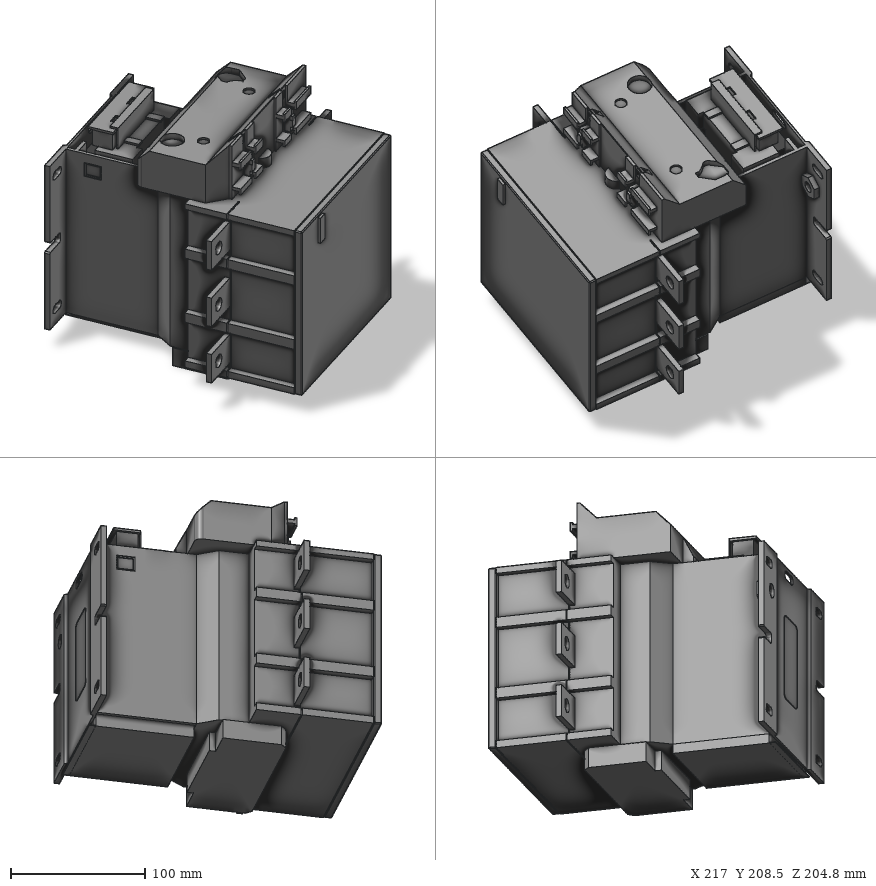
import cadquery as cq
import math


BODY_HEIGHT = 142.8

PLATE_THICK = 4.3
PLATE_HALF_WIDTH = 73.0
GROOVE_DEPTH = 2.4
GROOVE_HALF_WIDTH = 40.8
GROOVE_FLANK = 1.5
WALL_OUTER_Y = 45.0
WALL_INNER_Y = 42.0
CHANNEL_END_X = 80.5

FLARE_END_X = 95.3
NECK_HALF_WIDTH = 55.1
RIBBED_START_X = 118.3
CORE_HALF_WIDTH = 72.3
RIB_HALF_WIDTH = 78.0
RIB_SPANS = [(0, 5.6), (39.3, 47.5), (95.3, 103.3), (138.0, BODY_HEIGHT)]
SEAM_X = 152.8
FOOT_DEPTH = 15.6

TERMINAL_SPAN = 208.5
TERMINAL_THICK = 4.3
TERMINAL_HEIGHT = 25.0
TERMINAL_PITCH = 49.3
TERMINAL_MID_Z = BODY_HEIGHT / 2
TERMINAL_HOLE_Y = 91.5
TERMINAL_HOLE_D = 10.5

LID_START_X = 208.5
LID_END_X = 214.8
LID_CHAMFER = 0.9
OVERALL_X = 217.0

COIL_BACK_Y = WALL_INNER_Y
COIL_FRONT_Y = -36.9

COVER_LEFT_Y = 71.2
COVER_RIGHT_Y = -70.3
COVER_FRONT_X = 73.8
COVER_BACK_X = 147.3
COVER_TOP_Z = 176.0
COVER_RIDGE_X = 145.0
COVER_RIDGE_RISE = 13.2
COVER_PEAK_Z = COVER_TOP_Z + COVER_RIDGE_RISE


def box(x_span, y_span, z_span):
    """Box between two limits along each axis."""
    lengths = [high - low for low, high in (x_span, y_span, z_span)]
    return cq.Workplane("XY").box(*lengths, centered=False).translate((x_span[0], y_span[0], z_span[0]))


def plan_prism(points, z_span):
    """Outline in X and Y, raised from the first height to the second."""
    low, high = z_span
    return cq.Workplane("XY").workplane(offset=low).polyline(points).close().extrude(high - low)


def side_prism(points, y_span):
    """Outline in X and Z, carried across Y."""
    low, high = y_span
    return cq.Workplane("XZ").workplane(offset=-high).polyline(points).close().extrude(high - low)


def x_cylinder(diameter, x_span, y, z):
    """Cylinder along X."""
    low, high = x_span
    return cq.Workplane("YZ").workplane(offset=low).center(y, z).circle(diameter / 2).extrude(high - low)


def z_cylinder(diameter, x, y, z_span):
    """Upright cylinder."""
    low, high = z_span
    return cq.Workplane("XY").workplane(offset=low).center(x, y).circle(diameter / 2).extrude(high - low)


def ribbed_block(x_span):
    """Block with ribs standing out along both sides."""
    block = box(x_span, (-CORE_HALF_WIDTH, CORE_HALF_WIDTH), (0, BODY_HEIGHT))
    for rib_span in RIB_SPANS:
        block = block.union(box(x_span, (-RIB_HALF_WIDTH, RIB_HALF_WIDTH), rib_span))
    return block


def make_mounting_plate():
    """Plate with a shallow groove down its middle, fixing slots and a nut on its inner face."""
    slot_width = 6.7
    slot_length = 14.3
    slot_y = 60.1
    slot_heights = [13.2, 130.0]
    top_slot_length = 19.5
    top_slot_y = 4.8
    top_slot_z = 136.5
    notch_width = 8.2
    notch_bottom_y = 54.0
    notch_corner = 2.5
    notch_z = BODY_HEIGHT / 2
    mouth_chamfer = 1.0
    label_width = 32.3
    label_height = 65.8
    label_depth = 0.5
    label_corner = 5.0
    nut_y = 53.8
    nut_z = 109.5
    nut_flats = 17.8
    nut_turn = 30
    nut_end_x = 9.0
    plate_hole = 10.8
    thread_hole = 8.7

    plate = box((0, PLATE_THICK), (-PLATE_HALF_WIDTH, PLATE_HALF_WIDTH), (0, BODY_HEIGHT))
    floor_half = GROOVE_HALF_WIDTH - GROOVE_FLANK
    groove = plan_prism(
        [
            (0, -GROOVE_HALF_WIDTH),
            (GROOVE_DEPTH, -floor_half),
            (GROOVE_DEPTH, floor_half),
            (0, GROOVE_HALF_WIDTH),
        ],
        (0, BODY_HEIGHT),
    )
    plate = plate.cut(groove)

    label = box(
        (0, GROOVE_DEPTH + label_depth),
        (-label_width / 2, label_width / 2),
        (notch_z - label_height / 2, notch_z + label_height / 2),
    )
    plate = plate.cut(label.edges("|X").fillet(label_corner))

    slot_points = [(side * slot_y, z) for side in (-1, 1) for z in slot_heights]
    slots = cq.Workplane("YZ").pushPoints(slot_points).slot2D(slot_length, slot_width).extrude(PLATE_THICK)
    top_slot = cq.Workplane("YZ").center(top_slot_y, top_slot_z)
    top_slot = top_slot.slot2D(top_slot_length, slot_width).extrude(PLATE_THICK)
    plate = plate.cut(slots).cut(top_slot)

    half_notch = notch_width / 2
    notch = box(
        (0, PLATE_THICK),
        (notch_bottom_y, PLATE_HALF_WIDTH),
        (notch_z - half_notch, notch_z + half_notch),
    )
    notch = notch.edges("|X and <Y").fillet(notch_corner)
    mouth = (
        cq.Workplane("YZ")
        .polyline(
            [
                (PLATE_HALF_WIDTH, notch_z - half_notch - mouth_chamfer),
                (PLATE_HALF_WIDTH - mouth_chamfer, notch_z - half_notch),
                (PLATE_HALF_WIDTH - mouth_chamfer, notch_z + half_notch),
                (PLATE_HALF_WIDTH, notch_z + half_notch + mouth_chamfer),
            ]
        )
        .close()
        .extrude(PLATE_THICK)
    )
    notch = notch.union(mouth)
    plate = plate.cut(notch).cut(notch.mirror("XZ"))

    nut = cq.Workplane("YZ").workplane(offset=PLATE_THICK).center(nut_y, nut_z)
    nut = nut.polygon(6, nut_flats / math.cos(math.pi / 6)).extrude(nut_end_x - PLATE_THICK)
    nut = nut.rotate((0, nut_y, nut_z), (1, nut_y, nut_z), nut_turn)
    plate = plate.union(nut)
    plate = plate.cut(x_cylinder(plate_hole, (0, PLATE_THICK), nut_y, nut_z))
    return plate.cut(x_cylinder(thread_hole, (PLATE_THICK, nut_end_x), nut_y, nut_z))


def make_channel():
    """Two walls from the plate to the housing, with inward tabs and a framed recess."""
    tab_span = (10.6, 13.9)
    tab_inner_y = 29.0
    tab_bottom_z = 108.5
    recess_x = (19.3, 33.2)
    recess_z = (123.0, 134.5)
    recess_step = 1.0
    recess_depth = 0.9

    walls = box((PLATE_THICK, CHANNEL_END_X), (WALL_INNER_Y, WALL_OUTER_Y), (0, BODY_HEIGHT))
    walls = walls.union(box(tab_span, (tab_inner_y, WALL_INNER_Y), (tab_bottom_z, BODY_HEIGHT)))
    walls = walls.union(walls.mirror("XZ"))
    for step in (0, 1):
        inset = step * recess_step
        recess = box(
            (recess_x[0] + inset, recess_x[1] - inset),
            (-WALL_OUTER_Y, -WALL_OUTER_Y + (step + 1) * recess_depth),
            (recess_z[0] + inset, recess_z[1] - inset),
        )
        walls = walls.cut(recess)
    return walls


def make_foot():
    """Block under the housing, with bevelled rear corners."""
    tongue_x = 92.9
    tongue_half = 34.3
    front_x = 97.9
    back_x = COVER_BACK_X
    half_width = 56.5
    bevel = 4.3
    half_outline = [
        (tongue_x, tongue_half),
        (front_x, tongue_half),
        (front_x, half_width),
        (back_x - bevel, half_width),
        (back_x, half_width - bevel),
    ]
    other_half = [(x, -y) for x, y in reversed(half_outline)]
    return plan_prism(half_outline + other_half, (-FOOT_DEPTH, 0))


def make_terminals():
    """Three bars standing out on both sides, each with a hole at both ends."""
    x_span = (SEAM_X - TERMINAL_THICK, SEAM_X)
    bars = cq.Workplane("XY")
    for row in (-1, 0, 1):
        middle = TERMINAL_MID_Z + row * TERMINAL_PITCH
        z_span = (middle - TERMINAL_HEIGHT / 2, middle + TERMINAL_HEIGHT / 2)
        bar = box(x_span, (-TERMINAL_SPAN / 2, TERMINAL_SPAN / 2), z_span)
        for side in (-1, 1):
            bar = bar.cut(x_cylinder(TERMINAL_HOLE_D, x_span, side * TERMINAL_HOLE_Y, middle))
        bars = bars.union(bar)
    return bars


def make_neck():
    """Front of the housing, flaring out from the channel's width."""
    half_outline = [
        (CHANNEL_END_X, WALL_OUTER_Y),
        (FLARE_END_X, NECK_HALF_WIDTH),
        (RIBBED_START_X, NECK_HALF_WIDTH),
    ]
    other_half = [(x, -y) for x, y in reversed(half_outline)]
    return plan_prism(half_outline + other_half, (0, BODY_HEIGHT))


def cut_seam(housing):
    """Narrow groove round the housing behind the terminals, interrupted on top below the cover."""
    width = 0.9
    depth = 0.9
    bridge_y = (-57.5, 64.5)

    seam_span = (SEAM_X, SEAM_X + width)
    ring = ribbed_block(seam_span)
    core_half = CORE_HALF_WIDTH - depth
    ring = ring.cut(box(seam_span, (-core_half, core_half), (depth, BODY_HEIGHT - depth)))
    ring = ring.cut(box(seam_span, bridge_y, (BODY_HEIGHT - depth, BODY_HEIGHT)))
    return housing.cut(ring)


def make_housing():
    """Neck and ribbed block with a seam groove, foot and terminals in one solid."""
    housing = make_neck().union(ribbed_block((RIBBED_START_X, LID_START_X)))
    return cut_seam(housing).union(make_foot()).union(make_terminals())


def make_lid():
    """End plate with bevelled edges and a small tab on its outer face."""
    tab_y = (-50.0, -42.3)
    tab_z = (118.5, 140.5)

    lid = box((LID_START_X, LID_END_X), (-RIB_HALF_WIDTH, RIB_HALF_WIDTH), (0, BODY_HEIGHT))
    lid = lid.edges().chamfer(LID_CHAMFER)
    return lid.union(box((LID_END_X, OVERALL_X), tab_y, tab_z))


def make_coil():
    """Coil in the channel, with its connector on top and a flange under the plate."""
    bottom_z = -7.4
    bottom_left_y = WALL_OUTER_Y
    flange_thick = 0.7
    shelf_x = 5.2
    shelf_z = 65.0
    rear_x = 65.5
    rear_z = 124.8
    middle_y = (-21.3, 21.7)
    middle_z = 108.5
    support_x = 45.0
    tongue_end_x = 23.7
    tongue_z = 123.0
    head_start_x = 26.3
    head_end_x = 57.5
    head_half_width = 40.8
    head_bottom_z = 128.0
    head_top_z = 145.2
    head_notch_x = 52.7
    head_notch_half = 23.9

    coil_y = (COIL_FRONT_Y, COIL_BACK_Y)
    coil = box((shelf_x, CHANNEL_END_X), (COIL_FRONT_Y, bottom_left_y), (bottom_z, 0))
    coil = coil.union(box((0, shelf_x), (COIL_FRONT_Y, bottom_left_y), (bottom_z, bottom_z + flange_thick)))
    coil = coil.union(box((shelf_x, rear_x), coil_y, (0, shelf_z)))
    coil = coil.union(box((rear_x, CHANNEL_END_X), coil_y, (0, rear_z)))
    coil = coil.union(box((PLATE_THICK, head_notch_x), middle_y, (0, middle_z)))
    coil = coil.union(box((PLATE_THICK, tongue_end_x), middle_y, (middle_z, tongue_z)))
    head_y = (-head_half_width, head_half_width)
    coil = coil.union(box((head_start_x, head_end_x), head_y, (head_bottom_z, head_top_z)))
    coil = coil.union(box((support_x, head_notch_x), middle_y, (middle_z, head_bottom_z)))
    notch_y = (-head_notch_half, head_notch_half)
    coil = coil.cut(box((head_notch_x, head_end_x), notch_y, (head_bottom_z, head_top_z)))
    return coil.union(make_connector(head_top_z))


def make_connector(bottom_z):
    """Connector box with an overhanging top, held by a bent strip with two feet."""
    top_z = 161.9
    body_x = (21.5, 38.0)
    body_y = (-35.0, 31.7)
    rim_thick = 2.0
    rim_x = (18.9, 39.5)
    rim_y = (-36.9, 34.0)
    pocket_x = (30.5, 35.8)
    pocket_spans = [(-22.4, -13.7), (5.5, 15.2)]
    pocket_depth = 1.7
    strip_x = (34.5, 41.2)
    strip_y = (-31.7, 30.2)
    strip_thick = 1.3
    strip_top_z = 163.5
    foot_spans = [(-21.7, -15.5), (16.0, 22.8)]
    foot_end_x = 53.5
    foot_thick = 1.7

    connector = box(body_x, body_y, (bottom_z, top_z))
    connector = connector.union(box(rim_x, rim_y, (top_z - rim_thick, top_z)))
    for span in pocket_spans:
        connector = connector.cut(box(pocket_x, span, (top_z - pocket_depth, top_z)))
    connector = connector.union(box(strip_x, strip_y, (top_z, strip_top_z)))
    upright_x = (strip_x[1] - strip_thick, strip_x[1])
    connector = connector.union(box(upright_x, strip_y, (bottom_z, strip_top_z)))
    for span in foot_spans:
        connector = connector.union(box((upright_x[0], foot_end_x), span, (bottom_z, bottom_z + foot_thick)))
    return connector


def make_cover_shell():
    """Cover with a bevelled front, a rising ridge at the back and a narrow nose over the coil."""
    shoulder_z = 164.5
    bevel_end_x = COVER_FRONT_X + COVER_TOP_Z - shoulder_z
    ridge_start_x = COVER_RIDGE_X - COVER_RIDGE_RISE
    corner_radius = 5.2
    nose_x = 65.5
    nose_half_width = 41.5
    nose_front_z = 148.5

    profile = [
        (COVER_FRONT_X, BODY_HEIGHT),
        (COVER_FRONT_X, shoulder_z),
        (bevel_end_x, COVER_TOP_Z),
        (ridge_start_x, COVER_TOP_Z),
        (COVER_RIDGE_X, COVER_PEAK_Z),
        (COVER_BACK_X, COVER_PEAK_Z),
        (COVER_BACK_X, BODY_HEIGHT),
    ]
    plan = plan_prism(
        [
            (COVER_FRONT_X, COVER_LEFT_Y),
            (COVER_FRONT_X, COVER_RIGHT_Y),
            (ridge_start_x, COVER_RIGHT_Y),
            (COVER_RIDGE_X, COVER_RIGHT_Y + COVER_RIDGE_RISE),
            (COVER_BACK_X, COVER_RIGHT_Y + COVER_RIDGE_RISE),
            (COVER_BACK_X, COVER_LEFT_Y),
        ],
        (BODY_HEIGHT, COVER_PEAK_Z),
    )
    plan = plan.edges("|Z and <X and <Y").fillet(corner_radius)
    cover = side_prism(profile, (COVER_RIGHT_Y, COVER_LEFT_Y)).intersect(plan)

    nose = side_prism(
        [
            (nose_x, BODY_HEIGHT),
            (nose_x, nose_front_z),
            (COVER_FRONT_X, shoulder_z),
            (COVER_FRONT_X, BODY_HEIGHT),
        ],
        (-nose_half_width, nose_half_width),
    )
    return cover.union(nose)


def cut_cover_openings(cover):
    """Round holes and a keyhole sunk in the top, and two windows through the ridge."""
    floor_z = 171.0
    hole_x = 115.5
    hole_y = 39.5
    hole_d = 9.1
    hole_depth = 1.7
    large_x = 93.7
    large_y = -48.2
    large_d = 18.2
    window_y = 34.7
    window_width = 5.6
    window_z = (179.2, 186.0)

    for side in (-1, 1):
        cover = cover.cut(z_cylinder(hole_d, hole_x, side * hole_y, (COVER_TOP_Z - hole_depth, COVER_PEAK_Z)))
        window = (side * window_y - window_width / 2, side * window_y + window_width / 2)
        cover = cover.cut(box((COVER_FRONT_X, COVER_BACK_X), window, window_z))
    cover = cover.cut(z_cylinder(large_d, large_x, large_y, (floor_z, COVER_PEAK_Z)))
    keyhole = (
        cq.Workplane("XY")
        .workplane(offset=floor_z)
        .moveTo(89.5, 63.8)
        .lineTo(96.1, 63.8)
        .lineTo(105.2, 55.1)
        .lineTo(105.2, 50.3)
        .lineTo(102.2, 50.3)
        .threePointArc((98.7, 48.2), (95.0, 44.5))
        .threePointArc((92.5, 43.8), (89.8, 44.7))
        .lineTo(81.5, 51.9)
        .lineTo(81.5, 59.0)
        .threePointArc((84.5, 62.3), (89.5, 63.8))
        .close()
        .extrude(COVER_PEAK_Z - floor_z)
    )
    return cover.cut(keyhole)


def add_cover_rails(cover):
    """Flanged brackets on the recessed back of the cover, blocks between them and a round boss."""
    rail_spans = [(-57.3, -38.2), (-31.2, -18.7), (19.3, 30.8), (39.0, 64.5)]
    block_spans = [(-37.8, -32.8), (32.5, 37.5)]
    web_end_x = 153.0
    lip_end_x = 154.7
    webs = [((171.9, 175.1), (170.1, 176.9)), ((151.2, 153.9), (148.6, 153.9))]
    block_z = (153.9, 171.9)
    block_lip_z = (158.0, 167.5)
    pad_start_x = 148.2
    pad_top_z = 164.0
    pad_rise = 0.5
    recess_spans = [(-18.7, 19.3), (-38.2, -31.2), (30.8, 39.0)]
    recess_x = 145.5
    boss_x = 144.0
    boss_d = 16.0

    for span in recess_spans:
        cover = cover.cut(box((recess_x, COVER_BACK_X), span, (BODY_HEIGHT, COVER_PEAK_Z)))
    cover = cover.union(z_cylinder(boss_d, boss_x, 0, (BODY_HEIGHT, webs[1][0][0])))
    for span in rail_spans:
        for web_z, lip_z in webs:
            cover = cover.union(box((COVER_BACK_X, web_end_x), span, web_z))
            cover = cover.union(box((web_end_x, lip_end_x), span, lip_z))
    for low, high in block_spans:
        block_y = (low + pad_rise, high - pad_rise)
        cover = cover.union(box((recess_x, web_end_x), block_y, block_z))
        cover = cover.union(box((web_end_x, lip_end_x), block_y, block_lip_z))
        cover = cover.union(box((pad_start_x, web_end_x), (low, high), (block_z[0], pad_top_z)))
        cover = cover.union(box((web_end_x, lip_end_x), (low, high), (block_lip_z[0], pad_top_z)))
    return cover


frame = make_mounting_plate().union(make_channel())
coil = make_coil()
housing = make_housing()
lid = make_lid()
cover = add_cover_rails(cut_cover_openings(make_cover_shell()))

result = cq.Compound.makeCompound([frame.val(), coil.val(), housing.val(), lid.val(), cover.val()])